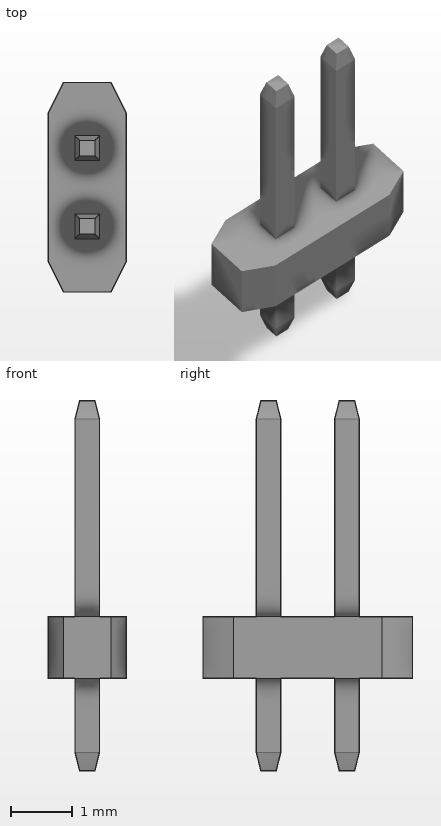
import cadquery as cq

pin_count = 2
pitch = 1.27

housing_width = pitch
housing_length = 3.4
housing_height = 1.0
bevel_x = 0.25
bevel_y = 0.5

pin_size = 0.4
pin_length = 6.0
pin_below_housing = 1.5
tip_size = 0.25
tip_length = 0.3


def make_housing():
    """Flat-ended block whose four vertical corners are bevelled."""
    half_width = housing_width / 2
    half_length = housing_length / 2
    flat_half_width = half_width - bevel_x
    flat_half_length = half_length - bevel_y
    outline = [
        (half_width, -flat_half_length),
        (half_width, flat_half_length),
        (flat_half_width, half_length),
        (-flat_half_width, half_length),
        (-half_width, flat_half_length),
        (-half_width, -flat_half_length),
        (-flat_half_width, -half_length),
        (flat_half_width, -half_length),
    ]
    return cq.Workplane("XY").polyline(outline).close().extrude(housing_height)


def make_tip(base_z, direction):
    """Square taper from the pin section at base_z; direction is +1 for up, -1 for down."""
    return (
        cq.Workplane("XY")
        .workplane(offset=base_z)
        .rect(pin_size, pin_size)
        .workplane(offset=direction * tip_length)
        .rect(tip_size, tip_size)
        .loft(ruled=True)
    )


def make_pin():
    """Square pin on the Z axis with a tapered tip at each end."""
    shank_bottom = -pin_below_housing + tip_length
    shank_length = pin_length - 2 * tip_length
    shank_top = shank_bottom + shank_length
    shank = (
        cq.Workplane("XY")
        .workplane(offset=shank_bottom)
        .rect(pin_size, pin_size)
        .extrude(shank_length)
    )
    return shank.union(make_tip(shank_top, 1)).union(make_tip(shank_bottom, -1))


result = make_housing()
pin = make_pin()
for index in range(pin_count):
    pin_y = (index - (pin_count - 1) / 2) * pitch
    result = result.union(pin.translate((0, pin_y, 0)))